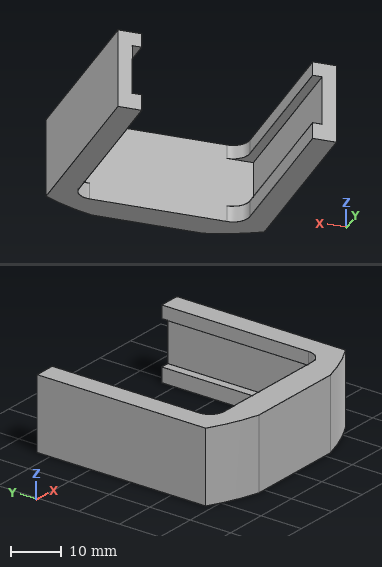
import cadquery as cq
import math

width = 46.0
length = 46.5
height = 17.0

arm_thickness = 5.0
base_thickness = 6.55
inner_corner_radius = 3.5
front_flat_width = 23.45
front_arc_radius = 45.55

groove_depth = 2.0
lower_lip_height = 3.5
upper_lip_height = 3.0

half_width = width / 2
inner_width = width - 2 * arm_thickness
inner_length = length - base_thickness
half_flat = front_flat_width / 2

arc_center_y = math.sqrt(front_arc_radius**2 - half_flat**2)


def front_arc_y(x):
    """Y of the front arc at a given X."""
    return arc_center_y - math.sqrt(front_arc_radius**2 - x**2)


def make_body():
    """Block with a flat front blended to the sides by two arcs."""
    side_y = front_arc_y(half_width)
    middle_x = (half_width + half_flat) / 2
    middle_y = front_arc_y(middle_x)
    return (
        cq.Workplane("XY")
        .moveTo(-half_flat, 0)
        .lineTo(half_flat, 0)
        .threePointArc((middle_x, middle_y), (half_width, side_y))
        .lineTo(half_width, length)
        .lineTo(-half_width, length)
        .lineTo(-half_width, side_y)
        .threePointArc((-middle_x, middle_y), (-half_flat, 0))
        .close()
        .extrude(height)
    )


def make_opening():
    """Opening between the arms, rounded where it meets the base."""
    return (
        cq.Workplane("XY")
        .box(inner_width, inner_length, height, centered=(True, False, False))
        .edges("|Z and <Y")
        .fillet(inner_corner_radius)
        .translate((0, base_thickness, 0))
    )


def make_grooves():
    """Slot spanning the opening that cuts a groove into both arms."""
    groove_height = height - lower_lip_height - upper_lip_height
    return (
        cq.Workplane("XY")
        .box(inner_width + 2 * groove_depth, inner_length, groove_height, centered=(True, False, False))
        .translate((0, base_thickness, lower_lip_height))
    )


result = make_body().cut(make_opening()).cut(make_grooves())